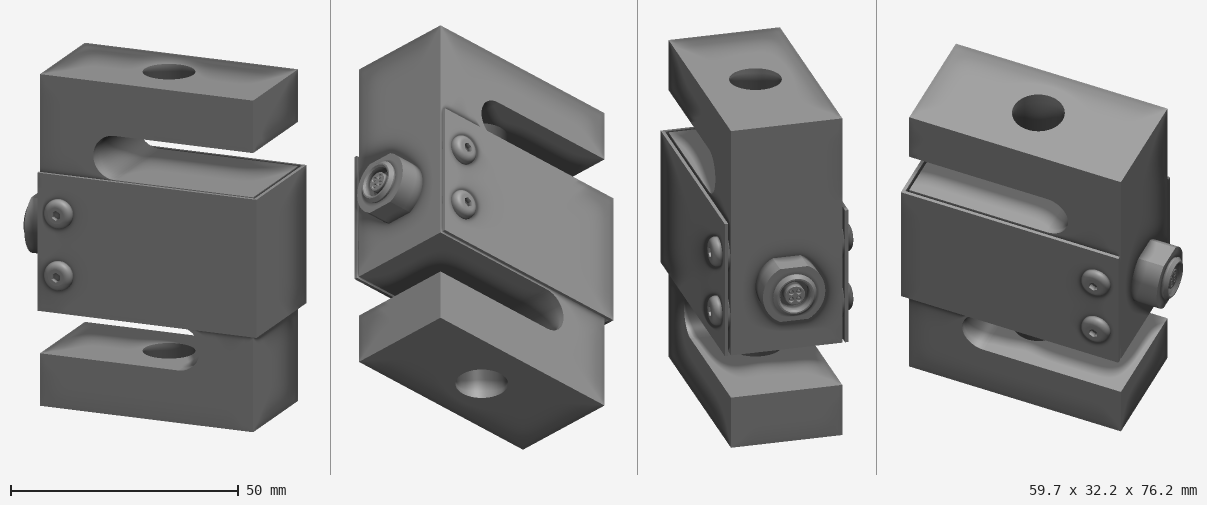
import cadquery as cq
import math

BODY_LENGTH = 50.8
BODY_WIDTH = 25.4
BODY_HEIGHT = 76.2
ARM_THICKNESS = 12.065
SLOT_WIDTH = 10.16
SLOT_RADIUS = SLOT_WIDTH / 2
SLOT_WEB = 12.7
ARM_HOLE_DIAMETER = 11.61

COVER_GAP = 0.635
COVER_SHEET = 0.762
COVER_HEIGHT = BODY_HEIGHT - 2 * (ARM_THICKNESS + SLOT_WIDTH)
COVER_INNER_LENGTH = BODY_LENGTH + COVER_GAP
COVER_INNER_WIDTH = BODY_WIDTH + 2 * COVER_GAP
COVER_OUTER_LENGTH = COVER_INNER_LENGTH + COVER_SHEET
COVER_OUTER_WIDTH = COVER_INNER_WIDTH + 2 * COVER_SHEET

OVERALL_WIDTH = 32.16
SCREW_X = 5.2
SCREW_PITCH = 14.22
WASHER_DIAMETER = 9.53
HEAD_DIAMETER = 6.66
HEAD_HEIGHT = (OVERALL_WIDTH - COVER_OUTER_WIDTH) / 2
HEAD_RIM_HEIGHT = 0.5
HEAD_FLAT_DIAMETER = 3.79
HEX_ACROSS_FLATS = 1.98
HEX_DEPTH = 1.2

OVERALL_LENGTH = 59.69
CONNECTOR_REACH = OVERALL_LENGTH - COVER_OUTER_LENGTH
NUT_DIAMETER = 14.22
NUT_ACROSS_FLATS = 12.7
NUT_LENGTH = 6.1
NECK_DIAMETER = 9.53
COLLAR_DIAMETER = 9.91
COLLAR_CHAMFER = 0.76
BORE_DIAMETER = 6.91
BORE_CHAMFER = 0.4
BORE_DEPTH = 3.0
INSERT_DIAMETER = 4.57
INSERT_EDGE_DIAMETER = 4.32
INSERT_SETBACK = 0.45
SOCKET_COUNT = 4
SOCKET_CIRCLE_RADIUS = 1.2
SOCKET_DIAMETER = 1.02
SOCKET_MOUTH_DIAMETER = 1.27
SOCKET_DEPTH = 1.0
PIN_DIAMETER = 0.71


def disc(x_start, diameter, length):
    """Cylinder on the X axis, running along +X from x_start."""
    return cq.Workplane("YZ", origin=(x_start, 0, 0)).circle(diameter / 2).extrude(length)


def cone(x_start, start_diameter, end_diameter):
    """45-degree cone along +X, widening or narrowing from x_start."""
    length = abs(end_diameter - start_diameter) / 2
    return (
        cq.Workplane("XY")
        .moveTo(x_start, 0)
        .lineTo(x_start, start_diameter / 2)
        .lineTo(x_start + length, end_diameter / 2)
        .lineTo(x_start + length, 0)
        .close()
        .revolve(360, (0, 0), (1, 0))
    )


def make_slot(open_side, z_centre):
    """Slot through Y with a round blind end; open_side is +1 for +X, -1 for -X."""
    middle = BODY_LENGTH / 2
    round_x = middle - open_side * (middle - SLOT_WEB - SLOT_RADIUS)
    open_x = middle + open_side * middle
    channel = cq.Workplane("XY").box(abs(open_x - round_x), BODY_WIDTH, SLOT_WIDTH)
    channel = channel.translate(((open_x + round_x) / 2, 0, z_centre))
    round_end = (
        cq.Workplane("XZ", origin=(round_x, BODY_WIDTH / 2, z_centre))
        .circle(SLOT_RADIUS)
        .extrude(BODY_WIDTH)
    )
    return channel.union(round_end)


def make_body():
    """Block with two opposed slots and a hole along Z through each outer arm."""
    body = cq.Workplane("XY").box(BODY_LENGTH, BODY_WIDTH, BODY_HEIGHT)
    body = body.translate((BODY_LENGTH / 2, 0, 0))
    slot_z = BODY_HEIGHT / 2 - ARM_THICKNESS - SLOT_RADIUS
    for side in (1, -1):
        body = body.cut(make_slot(side, side * slot_z))
        arm_centre_z = side * (BODY_HEIGHT - ARM_THICKNESS) / 2
        hole = (
            cq.Workplane("XY", origin=(BODY_LENGTH / 2, 0, arm_centre_z))
            .circle(ARM_HOLE_DIAMETER / 2)
            .extrude(ARM_THICKNESS / 2, both=True)
        )
        body = body.cut(hole)
    return body


def make_cover():
    """Sheet U with a closed end at +X, as tall as the block between the slots."""
    outer = cq.Workplane("XY").box(COVER_OUTER_LENGTH, COVER_OUTER_WIDTH, COVER_HEIGHT)
    inner = cq.Workplane("XY").box(COVER_INNER_LENGTH, COVER_INNER_WIDTH, COVER_HEIGHT)
    outer = outer.translate((COVER_OUTER_LENGTH / 2, 0, 0))
    return outer.cut(inner.translate((COVER_INNER_LENGTH / 2, 0, 0)))


def make_screw(z):
    """Button head and washer on the -Y side at height z, as two solids."""
    head_radius = HEAD_DIAMETER / 2
    flat_radius = HEAD_FLAT_DIAMETER / 2
    dome_height = HEAD_HEIGHT - HEAD_RIM_HEIGHT
    dome_width = head_radius - flat_radius
    diagonal = math.sqrt(0.5)
    dome_middle = (flat_radius + dome_width * diagonal, HEAD_RIM_HEIGHT + dome_height * diagonal)
    head = (
        cq.Workplane("XY")
        .lineTo(head_radius, 0)
        .lineTo(head_radius, HEAD_RIM_HEIGHT)
        .threePointArc(dome_middle, (flat_radius, HEAD_HEIGHT))
        .lineTo(0, HEAD_HEIGHT)
        .close()
        .revolve(360, (0, 0), (0, 1))
    )
    hex_socket = (
        cq.Workplane("XZ", origin=(0, HEAD_HEIGHT - HEX_DEPTH, 0))
        .polygon(6, HEX_ACROSS_FLATS, circumscribed=True)
        .extrude(-HEX_DEPTH)
    )
    head = head.cut(hex_socket).mirror("XZ")
    head = head.translate((SCREW_X, -COVER_OUTER_WIDTH / 2, z))
    washer = (
        cq.Workplane("XZ", origin=(SCREW_X, -BODY_WIDTH / 2, z))
        .circle(WASHER_DIAMETER / 2)
        .extrude(COVER_GAP)
    )
    return head, washer


def make_nut():
    """Round nut with two flats facing up and down."""
    flats = cq.Workplane("XY").box(2 * NUT_LENGTH, NUT_DIAMETER, NUT_ACROSS_FLATS)
    return disc(-NUT_LENGTH, NUT_DIAMETER, NUT_LENGTH).intersect(flats)


def make_insert():
    """Round contact carrier with a ring of sockets, each holding a pin."""
    front_x = INSERT_SETBACK - CONNECTOR_REACH
    insert = disc(front_x, INSERT_DIAMETER, BORE_DEPTH - INSERT_SETBACK)
    insert = insert.faces("<X").chamfer((INSERT_DIAMETER - INSERT_EDGE_DIAMETER) / 2)
    mouth = cone(front_x, SOCKET_MOUTH_DIAMETER, SOCKET_DIAMETER)
    socket = disc(front_x, SOCKET_DIAMETER, SOCKET_DEPTH).union(mouth)
    socket = socket.cut(disc(front_x, PIN_DIAMETER, SOCKET_DEPTH))
    for index in range(SOCKET_COUNT):
        angle = 2 * math.pi * (index + 0.5) / SOCKET_COUNT
        y = SOCKET_CIRCLE_RADIUS * math.cos(angle)
        z = SOCKET_CIRCLE_RADIUS * math.sin(angle)
        insert = insert.cut(socket.translate((0, y, z)))
    return insert


def make_connector():
    """Nut, tapered hollow collar and the contact insert inside it."""
    neck_x = COLLAR_CHAMFER - CONNECTOR_REACH
    neck = disc(neck_x, NECK_DIAMETER, -neck_x)
    collar = cone(-CONNECTOR_REACH, COLLAR_DIAMETER - 2 * COLLAR_CHAMFER, COLLAR_DIAMETER)
    bore = disc(-CONNECTOR_REACH, BORE_DIAMETER, BORE_DEPTH)
    bore_mouth = cone(-CONNECTOR_REACH, BORE_DIAMETER + 2 * BORE_CHAMFER, BORE_DIAMETER)
    shell = make_nut().union(neck).union(collar).cut(bore).cut(bore_mouth)
    return shell.union(make_insert())


result = make_body().union(make_cover())
for screw_z in (-SCREW_PITCH / 2, SCREW_PITCH / 2):
    for feature in make_screw(screw_z):
        result = result.union(feature).union(feature.mirror("XZ"))
result = result.union(make_connector())